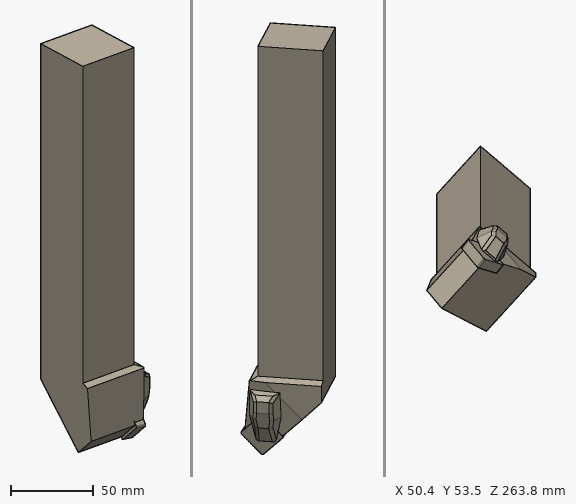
import cadquery as cq
import math

total_height = 263.8
shank_side = 40.0
shoulder_z = 50.5
shoulder_drop = 1.8
shoulder_step = 5.0
head_depth = shank_side + shoulder_step
head_top_x = 44.5
head_top_z = shoulder_z - shoulder_drop
head_side_x = 48.0
tip_x = 36.0
tip_z = 2.0

insert_side = 19.3
insert_thickness = 6.9
insert_corner_radius = 1.0
insert_tilt = 7.0
insert_corner = (37.2, 40.5, -0.45)

clamp_center_x = 34.5
clamp_base_y = 44.9
clamp_root_y = 42.0
clamp_half_width = 9.2
clamp_draft = 24.0
clamp_back_z = 43.3
clamp_ridge_y = 49.3
clamp_ridge_z = 41.7
clamp_top_y = 53.5
clamp_top_back_z = 39.0
clamp_top_front_z = 31.7
clamp_front_y = 51.5
clamp_front_z = 21.5
clamp_taper_z = 26.5
clamp_nose_y = 42.7
clamp_nose_z = 9.2
clamp_nose_half_width = 4.7
clamp_edge_chamfer = 1.5
top_face_min_lift = 0.5
planform_margin = 8.0

tilt = math.radians(insert_tilt)
seat_plane = cq.Plane(
    origin=insert_corner,
    xDir=(1, 0, 1),
    normal=(math.sin(tilt) / math.sqrt(2), math.cos(tilt), -math.sin(tilt) / math.sqrt(2)),
)


def make_holder_blank():
    """Shank and head: an X-Z outline crossed with a Y-Z outline."""
    front_outline = (
        cq.Workplane("XZ")
        .polyline([
            (0, total_height),
            (shank_side, total_height),
            (shank_side, shoulder_z),
            (head_top_x, head_top_z),
            (head_side_x, tip_z + head_side_x - tip_x),
            (tip_x, tip_z),
            (0, tip_z + tip_x),
        ])
        .close()
        .extrude(-head_depth)
    )
    side_outline = (
        cq.Workplane("YZ")
        .polyline([
            (0, 0),
            (head_depth, 0),
            (head_depth, head_top_z),
            (shank_side, shoulder_z),
            (shank_side, total_height),
            (0, total_height),
        ])
        .close()
        .extrude(head_side_x)
    )
    return front_outline.intersect(side_outline)


def cut_chip_face(holder):
    """Lean the face of the head level with the top of the insert."""
    size = 2 * total_height
    above_seat = cq.Workplane(seat_plane).rect(size, size).extrude(head_depth)
    return holder.cut(above_seat)


def make_clamp():
    """Drafted clamp that narrows toward the tool tip, with a bevelled profile."""
    widening = (clamp_base_y - clamp_root_y) * math.tan(math.radians(clamp_draft))
    half_width = clamp_half_width + widening
    nose_half_width = clamp_nose_half_width + widening
    back_z = clamp_back_z + planform_margin
    root_plane = cq.Plane(
        origin=(clamp_center_x, clamp_root_y, 0), xDir=(-1, 0, 0), normal=(0, 1, 0)
    )
    planform = (
        cq.Workplane(root_plane)
        .polyline([
            (-half_width, back_z),
            (-half_width, clamp_taper_z),
            (-nose_half_width, clamp_nose_z),
            (nose_half_width, clamp_nose_z),
            (half_width, clamp_taper_z),
            (half_width, back_z),
        ])
        .close()
        .extrude(clamp_top_y - clamp_root_y, taper=clamp_draft)
    )
    profile = (
        cq.Workplane("YZ")
        .polyline([
            (clamp_root_y, clamp_back_z),
            (clamp_ridge_y, clamp_ridge_z),
            (clamp_top_y, clamp_top_back_z),
            (clamp_top_y, clamp_top_front_z),
            (clamp_front_y, clamp_front_z),
            (clamp_nose_y, clamp_nose_z),
            (clamp_root_y, clamp_nose_z),
        ])
        .close()
        .extrude(2 * clamp_center_x)
    )
    clamp = planform.intersect(profile)
    top_faces = [face for face in clamp.faces().vals() if face.normalAt().y > top_face_min_lift]
    side_edges = cq.Workplane().newObject(top_faces).edges("not |X").vals()
    return clamp.newObject(side_edges).chamfer(clamp_edge_chamfer)


def make_insert():
    """Square plate with rounded corners, its top face in the seat plane."""
    return (
        cq.Workplane(seat_plane)
        .center(insert_side / 2, -insert_side / 2)
        .rect(insert_side, insert_side)
        .extrude(-insert_thickness)
        .edges(cq.selectors.ParallelDirSelector(seat_plane.zDir))
        .fillet(insert_corner_radius)
    )


insert = make_insert()
holder = cut_chip_face(make_holder_blank()).union(make_clamp()).cut(insert)

result = cq.Compound.makeCompound([holder.val(), insert.val()])